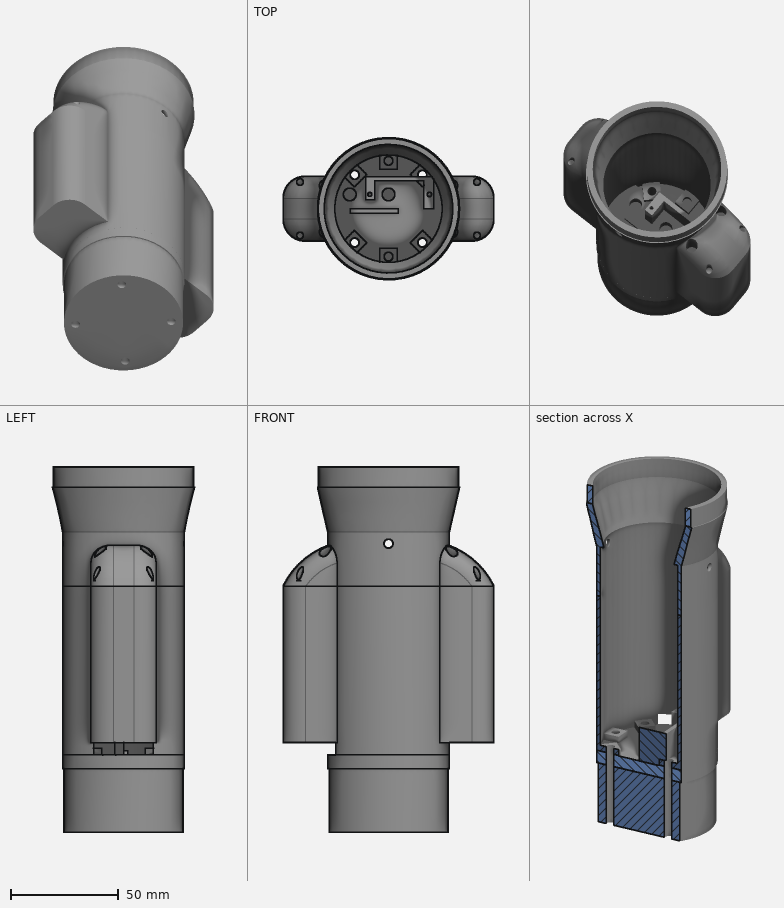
import cadquery as cq
import math

TOTAL_HEIGHT = 169.5
RING_HEIGHT = 9.3
FLARE_HEIGHT = 20.8
HEAD_BOTTOM = 114.2
FIN_BOTTOM = 41.7
FLOOR_TOP = 36.0
BASE_HEIGHT = 29.7
FLARE_TOP = TOTAL_HEIGHT - RING_HEIGHT
FLARE_BOTTOM = FLARE_TOP - FLARE_HEIGHT

TUBE_DIAMETER = 56.5
TUBE_BORE = 52.9
BASE_DIAMETER = 55.2
FLARE_THROAT = 49.8
FLARE_DIAMETER = 66.0
RING_DIAMETER = 65.0
RING_BORE = 59.6

FIN_SPAN = 97.8
FIN_REACH = FIN_SPAN / 2
FIN_WIDTH = 30.2
FIN_CORNER_RADIUS = 10.3
DOME_SWING = 60.0
DOME_ARC_RADIUS = 37.8
DOME_ARC_CENTER_X = 14.9
UPPER_VENT_DIAMETER = 5.5
UPPER_VENT_X = 29.3
UPPER_VENT_Y = 10.7
LOWER_VENT_DIAMETER = 3.0
LOWER_VENT_X = 41.0
LOWER_VENT_Y = 12.4
VENT_FLOOR = 116.8

SCREW_DIAMETER = 4.0
NECK_HOLE_LEVEL = 133.9

WINDOW_WIDTH = 27.8

LUG_WIDTH = 8.1
LUG_HEIGHT = 3.2
LUG_INNER_EDGE = 18.3
LUG_ROOT_DEPTH = 0.5
SCREW_CIRCLE_RADIUS = 22.2
CORNER_ANGLES = (45, 135, 225, 315)
SIDE_ANGLES = (90, 270)

WIRE_HOLE_DIAMETER = 6.0
WIRE_HOLE_Y = 6.6
WIRE_HOLE_XS = (-18.0, 0.0)

BRACKET_LEFT = -10.5
BRACKET_RIGHT = 21.0
BRACKET_BACK = 14.9
BRACKET_BACK_THICKNESS = 2.0
BRACKET_HEIGHT = 17.0
LEFT_LEG_WIDTH = 4.2
LEFT_LEG_FRONT = 4.0
RIGHT_LEG_WIDTH = 4.5
RIGHT_LEG_FRONT = 0.0
LEG_HOLE_Y = 6.6
LEFT_LEG_HOLE_X = -8.6
LEFT_LEG_HOLE_DIAMETER = 1.9
RIGHT_LEG_HOLE_X = 19.0
RIGHT_LEG_HOLE_DIAMETER = 2.0
LEG_HOLE_DEPTH = 5.0
STRIP_LEFT = -17.6
STRIP_LENGTH = 22.2
STRIP_WIDTH = 2.0
STRIP_HEIGHT = 2.0


def cylinder(diameter, bottom, top, x=0.0, y=0.0):
    return cq.Workplane("XY", origin=(x, y, bottom)).circle(diameter / 2).extrude(top - bottom)


def block(x_min, x_max, y_min, y_max, bottom, top):
    size = (x_max - x_min, y_max - y_min, top - bottom)
    return cq.Workplane("XY", origin=(x_min, y_min, bottom)).box(*size, centered=False)


def cone(bottom_diameter, top_diameter, bottom, top):
    profile = [(0, bottom), (bottom_diameter / 2, bottom), (top_diameter / 2, top), (0, top)]
    return cq.Workplane("XZ").polyline(profile).close().revolve(360, (0, 0), (0, 1))


def fin_prism(bottom, top):
    """Upright prism through the axis whose rounded ends are the two fins."""
    prism = cq.Workplane("XY", origin=(0, 0, bottom)).rect(2 * FIN_REACH, FIN_WIDTH).extrude(top - bottom)
    return prism.edges("|Z").fillet(FIN_CORNER_RADIUS)


def polar(radius, angle):
    return radius * math.cos(math.radians(angle)), radius * math.sin(math.radians(angle))


def screw_holes(angles, bottom, top):
    holes = cq.Workplane("XY")
    for angle in angles:
        x, y = polar(SCREW_CIRCLE_RADIUS, angle)
        holes = holes.union(cylinder(SCREW_DIAMETER, bottom, top, x, y))
    return holes


def make_ring():
    outside = cylinder(RING_DIAMETER, FLARE_TOP, TOTAL_HEIGHT)
    return outside.cut(cylinder(RING_BORE, FLARE_TOP, TOTAL_HEIGHT))


def make_dome():
    """Dome on the +X side: the fin outline swung upward about a level axis along Y."""
    run = FIN_REACH - DOME_ARC_CENTER_X
    axis_depth = math.sqrt(DOME_ARC_RADIUS**2 - run**2)
    apex_z = HEAD_BOTTOM - axis_depth + DOME_ARC_RADIUS
    outline = cq.Sketch().rect(run, FIN_WIDTH).vertices(">X").fillet(FIN_CORNER_RADIUS)
    dome = (
        cq.Workplane("XY", origin=(DOME_ARC_CENTER_X + run / 2, 0, HEAD_BOTTOM))
        .placeSketch(outline)
        .revolve(DOME_SWING, (-run / 2, 0, -axis_depth), (-run / 2, -1, -axis_depth))
    )
    for side in (-1, 1):
        upper = cylinder(UPPER_VENT_DIAMETER, VENT_FLOOR, apex_z, UPPER_VENT_X, side * UPPER_VENT_Y)
        lower = cylinder(LOWER_VENT_DIAMETER, VENT_FLOOR, apex_z, LOWER_VENT_X, side * LOWER_VENT_Y)
        dome = dome.cut(upper).cut(lower)
    return dome


def make_head():
    head = cylinder(TUBE_DIAMETER, HEAD_BOTTOM, FLARE_BOTTOM)
    head = head.union(cone(TUBE_DIAMETER, FLARE_DIAMETER, FLARE_BOTTOM, FLARE_TOP))
    dome = make_dome()
    head = head.union(dome).union(dome.mirror("YZ"))
    head = head.cut(cylinder(TUBE_BORE, 0, FLARE_BOTTOM))
    head = head.cut(cone(FLARE_THROAT, RING_BORE, FLARE_BOTTOM, FLARE_TOP))
    neck_hole = (
        cq.Workplane("XZ", origin=(0, 0, NECK_HOLE_LEVEL))
        .circle(SCREW_DIAMETER / 2)
        .extrude(TUBE_DIAMETER, both=True)
    )
    return head.cut(neck_hole)


def make_lug(angle):
    """Square-edged lug that reaches inward from the tube wall and stands on the floor."""
    top = FLOOR_TOP + LUG_HEIGHT
    lug = block(LUG_INNER_EDGE, TUBE_BORE, -LUG_WIDTH / 2, LUG_WIDTH / 2, FLOOR_TOP, top)
    lug = lug.rotate((0, 0, 0), (0, 0, 1), angle)
    return lug.intersect(cylinder(TUBE_BORE + 2 * LUG_ROOT_DEPTH, FLOOR_TOP, top))


def make_tube():
    tube = cylinder(TUBE_DIAMETER, FLOOR_TOP, HEAD_BOTTOM)
    tube = tube.union(fin_prism(FIN_BOTTOM, HEAD_BOTTOM))
    tube = tube.cut(cylinder(TUBE_BORE, FLOOR_TOP, HEAD_BOTTOM))
    half_window = WINDOW_WIDTH / 2
    tube = tube.cut(block(-TUBE_DIAMETER / 2, 0, -half_window, half_window, FLOOR_TOP, FIN_BOTTOM))
    lug_angles = CORNER_ANGLES + SIDE_ANGLES
    for angle in lug_angles:
        tube = tube.union(make_lug(angle))
    return tube.cut(screw_holes(lug_angles, FLOOR_TOP, FLOOR_TOP + LUG_HEIGHT))


def make_floor():
    floor = cylinder(TUBE_DIAMETER, BASE_HEIGHT, FLOOR_TOP)
    for x in WIRE_HOLE_XS:
        floor = floor.cut(cylinder(WIRE_HOLE_DIAMETER, BASE_HEIGHT, FLOOR_TOP, x, WIRE_HOLE_Y))
    return floor.cut(screw_holes(CORNER_ANGLES, BASE_HEIGHT, FLOOR_TOP))


def make_base():
    return cylinder(BASE_DIAMETER, 0, BASE_HEIGHT).cut(screw_holes(CORNER_ANGLES, 0, BASE_HEIGHT))


def make_bracket():
    """Two legs joined by a back wall, notched where the wall passes over a screw lug."""
    top = FLOOR_TOP + BRACKET_HEIGHT
    wall_front = BRACKET_BACK - BRACKET_BACK_THICKNESS
    left_leg_end = BRACKET_LEFT + LEFT_LEG_WIDTH
    right_leg_start = BRACKET_RIGHT - RIGHT_LEG_WIDTH
    bracket = block(BRACKET_LEFT, BRACKET_RIGHT, wall_front, BRACKET_BACK, FLOOR_TOP, top)
    left_leg = block(BRACKET_LEFT, left_leg_end, LEFT_LEG_FRONT, BRACKET_BACK, FLOOR_TOP, top)
    right_leg = block(right_leg_start, BRACKET_RIGHT, RIGHT_LEG_FRONT, BRACKET_BACK, FLOOR_TOP, top)
    bracket = bracket.union(left_leg).union(right_leg)
    hole_bottom = top - LEG_HOLE_DEPTH
    bracket = bracket.cut(cylinder(LEFT_LEG_HOLE_DIAMETER, hole_bottom, top, LEFT_LEG_HOLE_X, LEG_HOLE_Y))
    bracket = bracket.cut(cylinder(RIGHT_LEG_HOLE_DIAMETER, hole_bottom, top, RIGHT_LEG_HOLE_X, LEG_HOLE_Y))
    return bracket.cut(make_lug(CORNER_ANGLES[0]))


def make_strip():
    return block(STRIP_LEFT, STRIP_LEFT + STRIP_LENGTH, -STRIP_WIDTH, 0, FLOOR_TOP, FLOOR_TOP + STRIP_HEIGHT)


ring = make_ring()
head = make_head()
tube = make_tube()
floor = make_floor()
base = make_base()
bracket = make_bracket()
strip = make_strip()

bodies = [ring, head, tube, floor, base, bracket, strip]
result = cq.Compound.makeCompound([body.solids().val() for body in bodies])